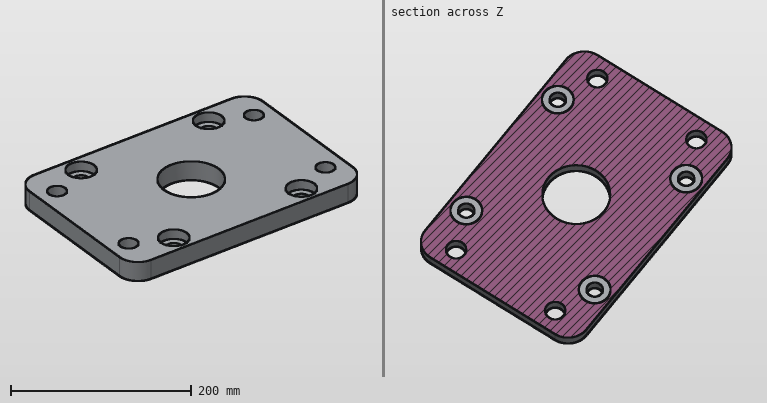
import cadquery as cq

plate_width = 220.0
plate_length = 320.0
plate_thickness = 25.0
corner_radius = 25.0

bore_diameter = 75.0

corner_hole_diameter = 22.0
corner_hole_spacing_x = 135.0
corner_hole_spacing_y = 270.0

screw_hole_diameter = 18.0
screw_hole_spacing = 175.0
counterbore_diameter = 35.0
counterbore_depth = plate_thickness / 2


def make_plate():
    """Rounded rectangular plate, centred in X and Y, standing on Z = 0."""
    blank = cq.Workplane("XY").box(
        plate_width, plate_length, plate_thickness, centered=(True, True, False)
    )
    return blank.edges("|Z").fillet(corner_radius)


def cut_central_bore(body):
    return body.faces(">Z").workplane(origin=(0, 0, 0)).hole(bore_diameter)


def cut_corner_holes(body):
    return (
        body.faces(">Z")
        .workplane(origin=(0, 0, 0))
        .rarray(corner_hole_spacing_x, corner_hole_spacing_y, 2, 2)
        .hole(corner_hole_diameter)
    )


def cut_screw_holes(body):
    """Screw holes with counterbores sunk from the top face."""
    return (
        body.faces(">Z")
        .workplane(origin=(0, 0, 0))
        .rarray(screw_hole_spacing, screw_hole_spacing, 2, 2)
        .cboreHole(screw_hole_diameter, counterbore_diameter, counterbore_depth)
    )


plate = make_plate()
plate = cut_central_bore(plate)
plate = cut_corner_holes(plate)
result = cut_screw_holes(plate)